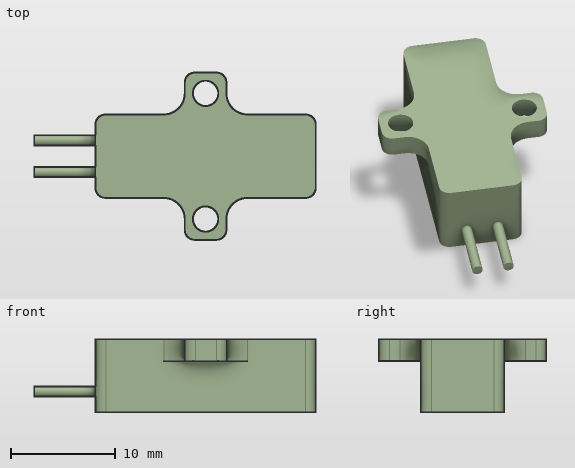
import cadquery as cq

total_length = 26.9
total_width = 16.0
height = 7.0

body_length = 21.05
body_width = 8.0
corner_radius = 1.0

ear_width = 4.0
ear_thickness = 2.1
ear_blend_radius = 2.0
hole_diameter = 2.4
hole_spacing = 12.0

wire_diameter = 1.0
wire_spacing = 3.0
wire_height = 2.0
wire_length = total_length - body_length


def make_body():
    """Block with rounded vertical edges, centred in X and Y and standing on Z = 0."""
    block = cq.Workplane("XY").box(body_length, body_width, height, centered=(True, True, False))
    return block.edges("|Z").fillet(corner_radius)


def make_ears():
    """Crossbar forming both ears, with rounded tips and flared roots at the body sides."""
    ear_bottom = height - ear_thickness
    root_width = ear_width + 2 * ear_blend_radius
    plane = cq.Workplane("XY").workplane(offset=ear_bottom)
    bar = plane.rect(ear_width, total_width).extrude(ear_thickness)
    bar = bar.edges("|Z").fillet(corner_radius)
    root = plane.rect(root_width, body_width).extrude(ear_thickness)
    cross = bar.union(root)

    for side in (-1, 1):
        start = (side * root_width / 2, body_width / 2)
        corner = (side * ear_width / 2, body_width / 2)
        end = (side * ear_width / 2, body_width / 2 + ear_blend_radius)
        blend = (
            plane.moveTo(*start)
            .lineTo(*corner)
            .lineTo(*end)
            .radiusArc(start, side * -ear_blend_radius)
            .close()
            .extrude(ear_thickness)
        )
        cross = cross.union(blend).union(blend.mirror("XZ"))

    hole_places = [(0, -hole_spacing / 2), (0, hole_spacing / 2)]
    holes = plane.pushPoints(hole_places).circle(hole_diameter / 2).extrude(ear_thickness)
    return cross.cut(holes)


def make_wires():
    """Two parallel round leads running in -X from the end face."""
    wire_places = [(-wire_spacing / 2, wire_height), (wire_spacing / 2, wire_height)]
    end_face = cq.Workplane("YZ").workplane(offset=-body_length / 2)
    return end_face.pushPoints(wire_places).circle(wire_diameter / 2).extrude(-wire_length)


result = make_body().union(make_ears()).union(make_wires())